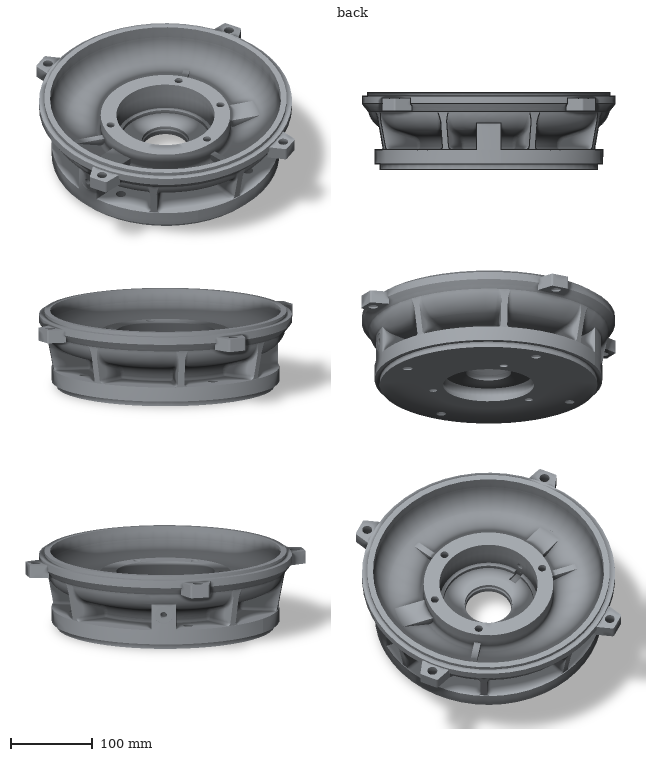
import cadquery as cq
import math

SPIGOT_R = 133.3
DISC_R = 139.5
SPIGOT_H = 6.8
DISC_TOP = 24.5
HUB_SKIRT_R = 93.5
SKIRT_FILLET = 11.2

RIM_R = 155.0
RIM_LIP_R = 148.5
HEIGHT = 94.2
RIM_TOP = 90.0
RIM_BOTTOM = 80.5
RIM_NECK = (150.7, 75.3)
BOWL_NECK_Z = 71.0

BOWL_R = 141.5
BOWL_CURVE_R = 25.5
BOWL_CURVE_Z = 79.0
WALL = 6.8
CONE_ANGLE = math.radians(17)

HUB_R = 79.5
HUB_TOP = 68.5
HUB_FILLET = 4.3

BORE_R = 60.0
BORE_FLOOR = 32.5
RECESS_R = 55.5
RECESS_FLOOR = 28.0
SHAFT_R = 28.0
SHAFT_RELIEF_R = 29.0
SHAFT_RELIEF_DEPTH = 4.0
SHAFT_CHAMFER = SHAFT_RELIEF_R - SHAFT_R
SEAL_R = 55.8
SEAL_DEPTH = 16.7

SLOT_WIDTH = 10.0
SLOT_INNER_R = 45.3
SLOT_FLOOR = 24.8

HUB_HOLE_D = 10.0
HUB_HOLE_CIRCLE_R = 70.0
HUB_THROUGH_ANGLES = (-90, 30, 150)
HUB_BLIND_ANGLE = 90
HUB_BLIND_DEPTH = 18.5

RIB_WIDTH = 8.0
RIB_FOOT_R = 138.3
RIB_FILLET = 3.7
RIB_HALF_PITCH = 22.5
WINDOWS = [(angle, RIB_HALF_PITCH) for angle in (0, 45, 90, 135, 180, 225)]
WINDOWS.append((292.5, 2 * RIB_HALF_PITCH))

STRAP_WIDTH = 8.0
STRAP_END_R = 115.3
STRAP_TOP = 52.0
STRAP_END_BOTTOM = 48.5
STRAP_ROOT_BOTTOM = 39.0

BOSS_ANGLES = (-60, 90)
BOSS_WIDTH = 30.0
BOSS_FLOOR_TOP = 53.0
BOSS_HEAD_R = 133.3
BOSS_TOP = 59.0

LUG_ANGLES = (45, 135, 225, 315)
LUG_END_R = 174.2
LUG_END_WIDTH = 23.0
LUG_ROOT_R = 152.0
LUG_ROOT_WIDTH = 37.2
LUG_BOTTOM = 71.5
LUG_TOP = 87.5
LUG_CORNER = 2.5
LUG_HOLE_R = 163.7
BOLT_D = 12.0
DISC_HOLE_R = 115.0

PLUG_ANGLE = BOSS_ANGLES[0]
PLUG_R = 10.5
PLUG_LENGTH = 18.5
PLUG_FACE_R = 139.0
PLUG_Z = 43.5
CHANNEL_R = 4.0

CLEAR_R = 186.0
HUB_INSIDE_R = HUB_R - 3
TOLERANCE = 0.05

CURVE_CENTRE_R = BOWL_R - BOWL_CURVE_R
CURVE_END_ANGLE = math.pi / 2 - CONE_ANGLE
OUTER_CURVE_R = BOWL_CURVE_R + WALL


def on_curve(radius, angle):
    """Point of the rounded wall, angle measured down from horizontal."""
    return (CURVE_CENTRE_R + radius * math.cos(angle), BOWL_CURVE_Z - radius * math.sin(angle))


def cone_point(start, radius):
    """Point of the conical floor line through start, at the given radius."""
    return (radius, start[1] - (start[0] - radius) * math.tan(CONE_ANGLE))


def cone_to_wall(start, wall_r, fillet, side):
    """Fillet from the cone to an upright wall; side is +1 above the cone, -1 below."""
    centre_r = wall_r + fillet
    surface = cone_point(start, centre_r)
    centre_z = surface[1] + side * fillet / math.cos(CONE_ANGLE)
    first = -side * math.pi / 2 + CONE_ANGLE
    last = -side * math.pi
    points = []
    for angle in (first, (first + last) / 2, last):
        points.append((centre_r + fillet * math.cos(angle), centre_z + fillet * math.sin(angle)))
    return points


def polar_place(body, angle):
    """Turn a body about the main axis."""
    return body.rotate((0, 0, 0), (0, 0, 1), angle)


def revolve_profile(profile):
    """Close a (radius, height) profile and turn it about the Z axis."""
    return profile.close().revolve(360, (0, 0, 0), (0, 1, 0))


def radial_slab(points, width):
    """Plate of the given (radius, height) outline, centred on the +X direction."""
    return cq.Workplane("XZ").polyline(points).close().extrude(width / 2, both=True)


def z_cylinder(radius, bottom, top):
    return cq.Workplane("XY").workplane(offset=bottom).circle(radius).extrude(top - bottom)


def polar_hole(diameter, circle_r, angle, bottom, top):
    hole = z_cylinder(diameter / 2, bottom, top).translate((circle_r, 0, 0))
    return polar_place(hole, angle)


def x_cylinder(radius, start, end, height):
    """Cylinder along +X at the given height."""
    return cq.Workplane("YZ", origin=(start, 0, height)).circle(radius).extrude(end - start)


def outer_arc():
    """Start, middle and end of the rounded outer wall, from the neck down to the cone."""
    start_angle = math.asin((BOWL_CURVE_Z - BOWL_NECK_Z) / OUTER_CURVE_R)
    middle_angle = (start_angle + CURVE_END_ANGLE) / 2
    return [on_curve(OUTER_CURVE_R, angle) for angle in (start_angle, middle_angle, CURVE_END_ANGLE)]


def outer_shape():
    """Solid of revolution of disc and rim, with the ribbed zone between them still filled."""
    outline = [
        (0, 0),
        (SPIGOT_R, 0),
        (SPIGOT_R, SPIGOT_H),
        (DISC_R, SPIGOT_H),
        (DISC_R, DISC_TOP),
        (RIB_FOOT_R, DISC_TOP),
        outer_arc()[0],
        RIM_NECK,
        (RIM_R, RIM_BOTTOM),
        (RIM_R, RIM_TOP),
        (RIM_LIP_R, RIM_TOP),
        (RIM_LIP_R, HEIGHT),
        (0, HEIGHT),
    ]
    return revolve_profile(cq.Workplane("XZ").polyline(outline))


def window_ring():
    """Ring between disc and bowl underside, outside the hub skirt."""
    arc_start, arc_middle, arc_end = outer_arc()
    fillet_start, fillet_middle, fillet_end = cone_to_wall(arc_end, HUB_SKIRT_R, SKIRT_FILLET, -1)
    profile = (
        cq.Workplane("XZ")
        .moveTo(CLEAR_R, DISC_TOP)
        .lineTo(CLEAR_R, BOWL_NECK_Z)
        .lineTo(*arc_start)
        .threePointArc(arc_middle, arc_end)
        .lineTo(*fillet_start)
        .threePointArc(fillet_middle, fillet_end)
        .lineTo(HUB_SKIRT_R, DISC_TOP)
    )
    return polar_place(revolve_profile(profile), 180)


def rib_window(half_span):
    """Space between two ribs that stand half_span degrees either side of +X, with rounded corners."""
    angle = math.radians(half_span)
    half_rib = RIB_WIDTH / 2
    apex = half_rib / math.sin(angle)
    reach = (apex + 2 * CLEAR_R * math.cos(angle), 2 * CLEAR_R * math.sin(angle))
    wedge = (
        cq.Workplane("XY")
        .polyline([(apex, 0), (reach[0], -reach[1]), reach])
        .close()
        .extrude(HEIGHT)
    )
    window = window_ring().intersect(wedge)

    def is_corner(edge):
        """Edges along the rib faces and along the foot of the skirt, not those of the open side."""
        centre = edge.Center()
        radius = math.hypot(centre.x, centre.y)
        rib_distance = abs(centre.y) * math.cos(angle) - centre.x * math.sin(angle)
        on_rib = abs(rib_distance + half_rib) < TOLERANCE
        below_neck = centre.z < BOWL_NECK_Z - TOLERANCE
        on_foot = centre.z < DISC_TOP + TOLERANCE and radius < HUB_SKIRT_R + TOLERANCE
        return on_foot or (on_rib and below_neck and radius < RIM_R)

    corners = [edge for edge in window.edges().vals() if is_corner(edge)]
    return window.newObject(corners).fillet(RIB_FILLET)


def bowl_cavity():
    """Ring-shaped space inside the bowl, around and above the hub."""
    arc_end = on_curve(BOWL_CURVE_R, CURVE_END_ANGLE)
    fillet_start, fillet_middle, fillet_end = cone_to_wall(arc_end, HUB_R, HUB_FILLET, 1)
    profile = (
        cq.Workplane("XZ")
        .moveTo(0, HEIGHT)
        .lineTo(BOWL_R, HEIGHT)
        .lineTo(BOWL_R, BOWL_CURVE_Z)
        .threePointArc(on_curve(BOWL_CURVE_R, CURVE_END_ANGLE / 2), arc_end)
        .lineTo(*fillet_start)
        .threePointArc(fillet_middle, fillet_end)
        .lineTo(HUB_R, HUB_TOP)
        .lineTo(0, HUB_TOP)
    )
    return revolve_profile(profile)


def bore():
    """Stepped bore of the hub with the shaft hole and the seal seat below it."""
    relief_floor = RECESS_FLOOR - SHAFT_RELIEF_DEPTH
    outline = [
        (0, HUB_TOP),
        (BORE_R, HUB_TOP),
        (BORE_R, BORE_FLOOR),
        (RECESS_R, BORE_FLOOR),
        (RECESS_R, RECESS_FLOOR),
        (SHAFT_RELIEF_R, RECESS_FLOOR),
        (SHAFT_RELIEF_R, relief_floor),
        (SHAFT_R, relief_floor - SHAFT_CHAMFER),
        (SHAFT_R, SEAL_DEPTH),
        (SEAL_R, SEAL_DEPTH),
        (SEAL_R, 0),
        (0, 0),
    ]
    return revolve_profile(cq.Workplane("XZ").polyline(outline))


def bore_slot():
    """Radial groove across the bore ledge, under the grease channel."""
    end_r = math.sqrt(BORE_R**2 - (SLOT_WIDTH / 2) ** 2)
    outline = [(SLOT_INNER_R, SLOT_FLOOR), (end_r, SLOT_FLOOR), (end_r, PLUG_Z), (SLOT_INNER_R, PLUG_Z)]
    return polar_place(radial_slab(outline, SLOT_WIDTH), PLUG_ANGLE)


def floor_strap():
    """Low radial rib on the bowl floor."""
    outline = [
        (HUB_INSIDE_R, STRAP_ROOT_BOTTOM),
        (STRAP_END_R, STRAP_END_BOTTOM),
        (STRAP_END_R, STRAP_TOP),
        (HUB_INSIDE_R, STRAP_TOP),
    ]
    return radial_slab(outline, STRAP_WIDTH)


def channel_boss():
    """Radial boss under and just above the bowl floor, its outer end flush with the disc."""
    outline = [
        (HUB_INSIDE_R, SPIGOT_H),
        (CLEAR_R, SPIGOT_H),
        (CLEAR_R, BOSS_TOP),
        (BOSS_HEAD_R, BOSS_TOP),
        (BOSS_HEAD_R, BOSS_FLOOR_TOP),
        (HUB_INSIDE_R, BOSS_FLOOR_TOP),
    ]
    disc = polar_place(z_cylinder(DISC_R, SPIGOT_H, BOSS_TOP), 180)
    return radial_slab(outline, BOSS_WIDTH).intersect(disc)


def lug():
    """Ear on the rim with tapering sides and rounded end corners."""
    half_end = LUG_END_WIDTH / 2
    half_root = LUG_ROOT_WIDTH / 2
    outline = [
        (LUG_ROOT_R, -half_root),
        (LUG_END_R, -half_end),
        (LUG_END_R, half_end),
        (LUG_ROOT_R, half_root),
    ]
    block = cq.Workplane("XY").workplane(offset=LUG_BOTTOM).polyline(outline).close()
    return block.extrude(LUG_TOP - LUG_BOTTOM).edges("|Z and >X").fillet(LUG_CORNER)


def make_housing():
    body = outer_shape()
    for angle, half_span in WINDOWS:
        body = body.cut(polar_place(rib_window(half_span), angle))
    for angle in LUG_ANGLES:
        body = body.union(polar_place(lug(), angle))
    body = body.cut(bowl_cavity())
    for angle in HUB_THROUGH_ANGLES:
        body = body.union(polar_place(floor_strap(), angle))
    for angle in BOSS_ANGLES:
        body = body.union(polar_place(channel_boss(), angle))

    body = body.cut(bore()).cut(bore_slot())
    for angle in HUB_THROUGH_ANGLES:
        body = body.cut(polar_hole(HUB_HOLE_D, HUB_HOLE_CIRCLE_R, angle, 0, HUB_TOP))
    blind_floor = HUB_TOP - HUB_BLIND_DEPTH
    body = body.cut(polar_hole(HUB_HOLE_D, HUB_HOLE_CIRCLE_R, HUB_BLIND_ANGLE, blind_floor, HUB_TOP))
    for angle in LUG_ANGLES:
        body = body.cut(polar_hole(BOLT_D, LUG_HOLE_R, angle, LUG_BOTTOM, LUG_TOP))
        body = body.cut(polar_hole(BOLT_D, DISC_HOLE_R, angle, 0, DISC_TOP))

    plug_seat = x_cylinder(PLUG_R, PLUG_FACE_R - PLUG_LENGTH, CLEAR_R, PLUG_Z)
    channel = x_cylinder(CHANNEL_R, BORE_R - 3, PLUG_FACE_R, PLUG_Z)
    return body.cut(polar_place(plug_seat, PLUG_ANGLE)).cut(polar_place(channel, PLUG_ANGLE))


def make_plug():
    """Hollow plug in the end of the grease channel."""
    start = PLUG_FACE_R - PLUG_LENGTH
    blank = x_cylinder(PLUG_R, start, PLUG_FACE_R, PLUG_Z)
    hole = x_cylinder(CHANNEL_R, start, PLUG_FACE_R, PLUG_Z)
    return polar_place(blank.cut(hole), PLUG_ANGLE)


housing = make_housing()
plug = make_plug()
result = cq.Compound.makeCompound([housing.val(), plug.val()])